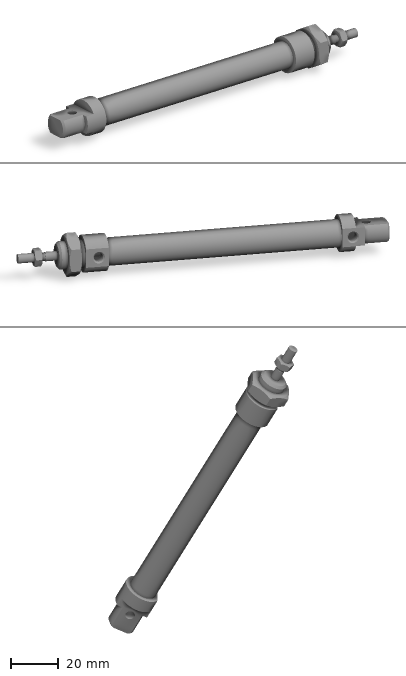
import cadquery as cq
import math

length = 160.0
front_end_y = length / 2
rear_end_y = -length / 2

barrel_diameter = 12.0
cover_diameter = 16.0
cover_length = 10.0
front_cover_front_y = 52.0
front_cover_rear_y = front_cover_front_y - cover_length
rear_cover_front_y = -59.0
rear_cover_rear_y = rear_cover_front_y - cover_length
port_face_offset = 6.9

nose_front_y = 63.0
nose_chamfer = 1.0

tang_thickness = 8.0
tang_shoulder_y = -65.0
tang_chamfer = 0.8
pin_hole_diameter = 4.0
pin_hole_y = -71.0

port_diameter = 4.0
port_mouth_diameter = 5.1
port_chamfer = (port_mouth_diameter - port_diameter) / 2
port_bottom_offset = 1.6
front_port_y = 46.4
rear_port_y = -63.7

rod_diameter = 4.0
neck_diameter = 3.5
neck_rear_y = 68.2
rod_rear_y = front_cover_rear_y

mounting_nut_flats = 17.0
mounting_nut_front_y = 59.5
mounting_nut_thickness = 5.5

rod_nut_flats = 7.0
rod_nut_front_y = 73.1
rod_nut_thickness = 3.2
neck_front_y = rod_nut_front_y - rod_nut_thickness

hexagon_sides = 6
corner_up = 90.0
corner_sideways = 0.0
nut_chamfer_angle = 30.0
nut_face_ratio = 0.98


def cylinder(diameter, rear_y, front_y):
    """Solid cylinder on the Y axis between two Y positions."""
    plane = cq.Plane(origin=(0, rear_y, 0), xDir=(1, 0, 0), normal=(0, 1, 0))
    return cq.Workplane(plane).circle(diameter / 2).extrude(front_y - rear_y)


def cover(rear_y, front_y):
    """End cover: a short cylinder with one flat on the -X side."""
    flat_cut = cq.Workplane("XY").box(cover_diameter, length, cover_diameter).translate(
        (-port_face_offset - cover_diameter / 2, 0, 0)
    )
    return cylinder(cover_diameter, rear_y, front_y).cut(flat_cut)


def port(y):
    """Blind port with a countersunk mouth, entering from the -X side."""
    depth = port_face_offset - port_bottom_offset
    profile = [
        (0, 0),
        (port_mouth_diameter / 2, 0),
        (port_diameter / 2, port_chamfer),
        (port_diameter / 2, depth),
        (0, depth),
    ]
    plane = cq.Plane(origin=(-port_face_offset, y, 0), xDir=(0, 1, 0), normal=(0, 0, -1))
    return cq.Workplane(plane).polyline(profile).close().revolve(axisStart=(0, 0, 0), axisEnd=(0, 1, 0))


def make_housing(rod):
    """Barrel with both covers, the threaded nose and the rear tang."""
    core = cylinder(barrel_diameter, rear_end_y, nose_front_y)
    core = core.faces(">Y").chamfer(nose_chamfer)
    core = core.faces("<Y").chamfer(tang_chamfer)
    housing = core.union(cover(front_cover_rear_y, front_cover_front_y))
    housing = housing.union(cover(rear_cover_rear_y, rear_cover_front_y))

    tang_length = tang_shoulder_y - rear_end_y
    for side in (1, -1):
        slab = cq.Workplane("XY").box(cover_diameter, tang_length, cover_diameter).translate(
            (0, rear_end_y + tang_length / 2, side * (tang_thickness + cover_diameter) / 2)
        )
        housing = housing.cut(slab)

    pin_hole = cq.Workplane("XY").center(0, pin_hole_y).circle(pin_hole_diameter / 2)
    housing = housing.cut(pin_hole.extrude(tang_thickness, both=True))

    for y in (front_port_y, rear_port_y):
        housing = housing.cut(port(y))
    return housing.cut(rod)


def make_rod():
    """Piston rod with a narrow neck behind the lock nut."""
    rod = cylinder(rod_diameter, rod_rear_y, neck_rear_y)
    rod = rod.union(cylinder(neck_diameter, neck_rear_y, neck_front_y))
    return rod.union(cylinder(rod_diameter, neck_front_y, front_end_y))


def make_nut(flats, bore, front_y, thickness, corner_angle):
    """Hexagon nut on the Y axis with both faces chamfered at the corners."""
    corner_radius = flats / 2 / math.cos(math.pi / hexagon_sides)
    face_radius = nut_face_ratio * flats / 2
    drop = (corner_radius - face_radius) * math.tan(math.radians(nut_chamfer_angle))
    rear_y = front_y - thickness
    plane = cq.Plane(origin=(0, rear_y, 0), xDir=(1, 0, 0), normal=(0, 1, 0))
    hexagon = cq.Workplane(plane).polygon(hexagon_sides, 2 * corner_radius).extrude(thickness)
    hexagon = hexagon.rotate((0, 0, 0), (0, 1, 0), corner_angle)
    envelope = (
        cq.Workplane("XY")
        .polyline([
            (0, rear_y),
            (face_radius, rear_y),
            (corner_radius, rear_y + drop),
            (corner_radius, front_y - drop),
            (face_radius, front_y),
            (0, front_y),
        ])
        .close()
        .revolve(axisStart=(0, 0, 0), axisEnd=(0, 1, 0))
    )
    return hexagon.intersect(envelope).cut(cylinder(bore, rear_y, front_y))


rod = make_rod()
housing = make_housing(rod)
mounting_nut = make_nut(
    mounting_nut_flats, barrel_diameter, mounting_nut_front_y, mounting_nut_thickness, corner_up
)
rod_nut = make_nut(rod_nut_flats, rod_diameter, rod_nut_front_y, rod_nut_thickness, corner_sideways)

result = cq.Compound.makeCompound([housing.val(), rod.val(), mounting_nut.val(), rod_nut.val()])